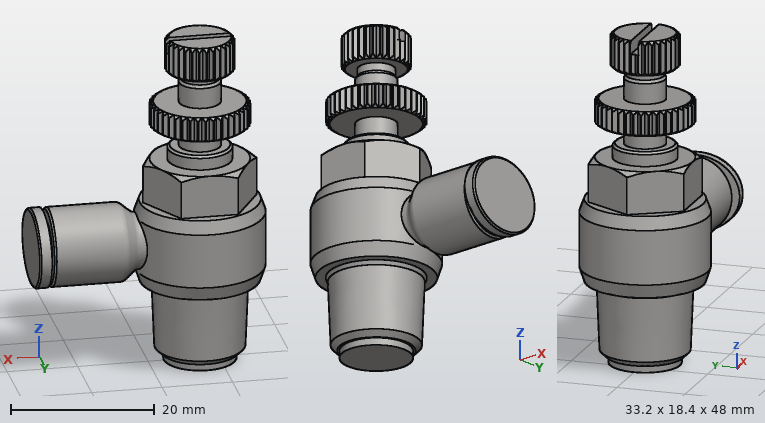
import cadquery as cq
import math


pilot_radius = 5.15
pilot_top = 1.05
thread_lead_in_radius = 5.45
thread_bottom_radius = 6.4
thread_bottom = 1.9
thread_top_radius = 6.75
thread_top = 11.35
relief_radius = 7.05

body_diameter = 18.4
body_radius = body_diameter / 2
body_end_radius = 8.5
body_bottom = 11.95
body_lower_edge = 14.0
body_upper_edge = 21.95
body_top = 23.8

hex_across_flats = 14.0
hex_top = 29.85
hex_chamfer_angle = 30
collar_radius = 4.55
collar_top = 31.9
collar_chamfer = 0.35

stem_radius = 3.0
stem_shoulder = 41.4
stem_neck_radius = 2.7
stem_neck_bottom = 41.85
head_radius = 4.9
head_root_radius = 4.35
head_bottom = 43.0
overall_height = 48.0
head_chamfer_height = 0.5
head_teeth = 30
slot_width = 1.2
slot_depth = 1.9

nut_radius = 7.05
nut_root_radius = 6.5
nut_bottom = 34.85
nut_top = 38.45
nut_chamfer_height = 0.4
nut_teeth = 40
tooth_land_share = 0.15

branch_level = 18.2
branch_neck_radius = 4.05
branch_cone_start = 9.45
branch_neck_fillet = 0.85
barrel_radius = 5.6
barrel_start = 11.4
barrel_start_fillet = 1.1
barrel_end = 21.7
barrel_chamfer = 0.3
sleeve_radius = 3.8
flange_start = 22.25
overall_length = 33.15
flange_end = overall_length - body_radius
flange_half_width = 6.5
flange_half_height = 5.5
flange_chamfer = 0.25


def turned(profile):
    """Solid of revolution about Z from (radius, height) points that begin and end on the axis."""
    return cq.Workplane("XZ").polyline(profile).close().revolve(360, (0, 0, 0), (0, 1, 0))


def cylinder(radius, bottom, top):
    return cq.Workplane("XY").workplane(offset=bottom).circle(radius).extrude(top - bottom)


def knurled_disc(tip_radius, root_radius, bottom, top, chamfer_height, teeth, first_tooth_angle):
    """Disc with V grooves around its rim and both rims chamfered down to the groove root."""
    pitch = 2 * math.pi / teeth
    half_land = pitch * tooth_land_share / 2
    outline = []
    for tooth in range(teeth):
        angle = math.radians(first_tooth_angle) + tooth * pitch
        corners = (
            (tip_radius, angle - half_land),
            (tip_radius, angle + half_land),
            (root_radius, angle + pitch / 2),
        )
        outline += [(radius * math.cos(a), radius * math.sin(a)) for radius, a in corners]
    toothed = cq.Workplane("XY").workplane(offset=bottom).polyline(outline).close().extrude(top - bottom)
    envelope = turned([
        (0, bottom),
        (root_radius, bottom),
        (tip_radius, bottom + chamfer_height),
        (tip_radius, top - chamfer_height),
        (root_radius, top),
        (0, top),
    ])
    return toothed.intersect(envelope)


def threaded_body():
    return turned([
        (0, 0),
        (pilot_radius, 0),
        (pilot_radius, pilot_top),
        (thread_lead_in_radius, pilot_top),
        (thread_bottom_radius, thread_bottom),
        (thread_top_radius, thread_top),
        (relief_radius, body_bottom),
        (body_end_radius, body_bottom),
        (body_radius, body_lower_edge),
        (body_radius, body_upper_edge),
        (body_end_radius, body_top),
        (0, body_top),
    ])


def hexagon():
    corner_radius = hex_across_flats / math.sqrt(3)
    flat_radius = hex_across_flats / 2
    chamfer_drop = (corner_radius - flat_radius) * math.tan(math.radians(hex_chamfer_angle))
    prism = (
        cq.Workplane("XY").workplane(offset=body_top)
        .polygon(6, 2 * corner_radius).extrude(hex_top - body_top)
    )
    envelope = turned([
        (0, body_top),
        (corner_radius, body_top),
        (corner_radius, hex_top - chamfer_drop),
        (flat_radius, hex_top),
        (0, hex_top),
    ])
    collar = cylinder(collar_radius, body_top, collar_top).faces(">Z").chamfer(collar_chamfer)
    return prism.intersect(envelope).union(collar)


def adjusting_screw():
    stem = turned([
        (0, body_top),
        (stem_radius, body_top),
        (stem_radius, stem_shoulder),
        (stem_neck_radius, stem_neck_bottom),
        (stem_neck_radius, head_bottom),
        (0, head_bottom),
    ])
    head = knurled_disc(
        head_radius, head_root_radius, head_bottom, overall_height, head_chamfer_height, head_teeth,
        first_tooth_angle=90,
    )
    slot = (
        cq.Workplane("XY").workplane(offset=overall_height - slot_depth)
        .rect(2 * head_radius, slot_width).extrude(slot_depth)
    )
    return stem.union(head.cut(slot))


def lock_nut():
    half_pitch_angle = 180 / nut_teeth
    return knurled_disc(
        nut_radius, nut_root_radius, nut_bottom, nut_top, nut_chamfer_height, nut_teeth,
        first_tooth_angle=half_pitch_angle,
    )


def edges_at(x):
    """Selector for the edges of the side branch that lie around the given X position."""
    span = 0.5
    return cq.selectors.BoxSelector(
        (x - span, -barrel_radius, -barrel_radius),
        (x + span, barrel_radius, barrel_radius),
    )


def side_branch():
    barrel = (
        cq.Workplane("XY")
        .polyline([
            (0, 0),
            (0, branch_neck_radius),
            (branch_cone_start, branch_neck_radius),
            (barrel_start, barrel_radius),
            (barrel_end, barrel_radius),
            (barrel_end, 0),
        ])
        .close().revolve(360, (0, 0, 0), (1, 0, 0))
        .faces(">X").chamfer(barrel_chamfer)
    )
    barrel = barrel.edges("%CIRCLE").edges(edges_at(branch_cone_start)).fillet(branch_neck_fillet)
    barrel = barrel.edges("%CIRCLE").edges(edges_at(barrel_start)).fillet(barrel_start_fillet)
    sleeve = cq.Workplane("YZ").circle(sleeve_radius).extrude(flange_end)
    flange = (
        cq.Workplane("YZ").workplane(offset=flange_start)
        .ellipse(flange_half_width, flange_half_height).extrude(flange_end - flange_start)
        .faces(">X").chamfer(flange_chamfer)
    )
    return barrel.union(sleeve).union(flange).translate((0, 0, branch_level))


result = (
    threaded_body()
    .union(hexagon())
    .union(adjusting_screw())
    .union(lock_nut())
    .union(side_branch())
)